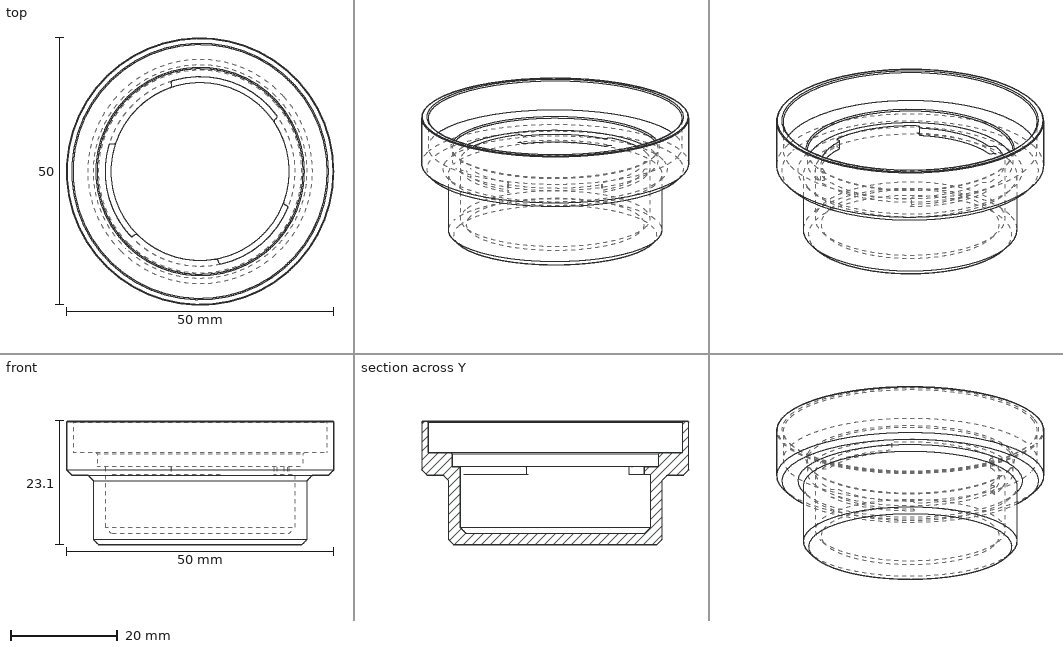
import cadquery as cq
import math

total_height = 23.15
flange_bottom = 13.0
recess_floor = 17.25
lip_top = 14.65
lip_thickness = 1.5
lip_bottom = lip_top - lip_thickness
cavity_floor = 2.15

flange_radius = 25.0
body_radius = 20.0
recess_radius = 23.75
seat_radius = 19.25
cavity_radius = 17.75
lip_radius = 16.65

large_chamfer = 1.0
edge_chamfer = 0.25
rim_chamfer = 0.15
corner_radius = 0.5

notch_spans = [(34.8, 108.2), (162.6, 224.0), (281.5, 338.6)]


def revolve(points):
    """Turn an (r, z) outline around the Z axis."""
    return cq.Workplane("XZ").polyline(points).close().revolve(360, (0, 0, 0), (0, 1, 0))


def make_outer_body():
    """Cylindrical body and wide flange, with chamfered edges and a sloped shoulder."""
    return revolve([
        (0, 0),
        (body_radius - large_chamfer, 0),
        (body_radius, large_chamfer),
        (body_radius, flange_bottom - large_chamfer),
        (body_radius + large_chamfer, flange_bottom),
        (flange_radius - large_chamfer, flange_bottom),
        (flange_radius, flange_bottom + large_chamfer),
        (flange_radius, total_height - rim_chamfer),
        (flange_radius - rim_chamfer, total_height),
        (0, total_height),
    ])


def make_rim_recess():
    """Wide recess under the rim and the narrower seat down to the lip."""
    return revolve([
        (0, lip_top),
        (seat_radius, lip_top),
        (seat_radius, recess_floor - edge_chamfer),
        (seat_radius + edge_chamfer, recess_floor),
        (recess_radius, recess_floor),
        (recess_radius, total_height - edge_chamfer),
        (recess_radius + edge_chamfer, total_height),
        (0, total_height),
    ])


def make_cavity():
    """Blind cavity up through the lip height, with a sloped edge around its floor."""
    return revolve([
        (0, cavity_floor),
        (lip_radius, cavity_floor),
        (cavity_radius, cavity_floor + cavity_radius - lip_radius),
        (cavity_radius, lip_top),
        (0, lip_top),
    ])


def polar(radius, angle):
    """Point at the given radius and angle in degrees."""
    return (radius * math.cos(math.radians(angle)), radius * math.sin(math.radians(angle)))


def make_lip_disc(radius):
    """Solid disc filling the height of the lip."""
    return cq.Workplane("XY", origin=(0, 0, lip_bottom)).circle(radius).extrude(lip_thickness)


def make_notch(start, end):
    """Sector from the axis to the cavity wall, as tall as the lip."""
    middle = (start + end) / 2
    return (
        cq.Workplane("XY", origin=(0, 0, lip_bottom))
        .lineTo(*polar(cavity_radius, start))
        .threePointArc(polar(cavity_radius, middle), polar(cavity_radius, end))
        .close()
        .extrude(lip_thickness)
    )


def make_lip_opening():
    """Round opening through the lip, widened by the notches, with rounded notch corners."""
    opening = make_lip_disc(lip_radius)
    opening = opening.rotate((0, 0, 0), (0, 0, 1), sum(notch_spans[0]) / 2)
    for start, end in notch_spans:
        opening = opening.union(make_notch(start, end))
    return opening.edges("|Z").fillet(corner_radius)


def make_lip():
    """Three inward teeth left between the notches."""
    return make_lip_disc(cavity_radius).cut(make_lip_opening())


result = (
    make_outer_body()
    .cut(make_rim_recess())
    .cut(make_cavity().cut(make_lip()))
)